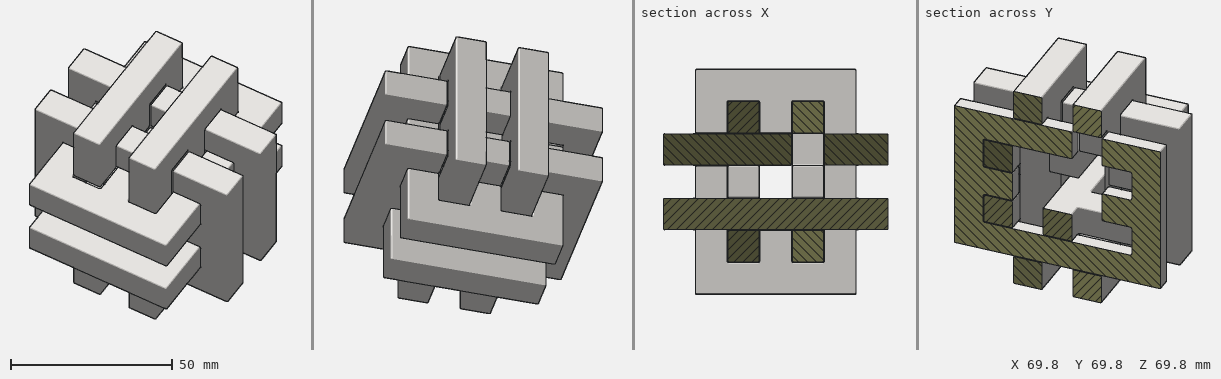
import cadquery as cq

BOARD_LENGTH = 69.8
CLEARANCE = 0.2
EDGE_RADIUS = 0.5
CELLS_LONG = 7
CELLS_WIDE = 5
SLOT_CELLS = 5

CELL = (BOARD_LENGTH + CLEARANCE) / CELLS_LONG
BOARD_WIDTH = CELLS_WIDE * CELL - CLEARANCE
BOARD_THICKNESS = CELL - CLEARANCE

SLOT_REACH = (SLOT_CELLS - 1) // 2
EDGE_CELL = (CELLS_WIDE - 1) // 2
SLOT_ROW = 1
OFFSET_CELLS = 1

X_AXIS = cq.Vector(1, 0, 0)
Y_AXIS = cq.Vector(0, 1, 0)
Z_AXIS = cq.Vector(0, 0, 1)


def cell_block(long_first, long_last, wide_first, wide_last):
    """Cutter through the board that fills a rectangle of grid cells, given as inclusive ranges."""
    length = (long_last - long_first + 1) * CELL
    width = (wide_last - wide_first + 1) * CELL
    middle_long = (long_first + long_last) / 2 * CELL
    middle_wide = (wide_first + wide_last) / 2 * CELL
    return cq.Workplane("XY").box(length, width, CELL).translate((middle_long, middle_wide, 0))


def make_board(openings):
    """Flat board with the given cell rectangles cut through it, rounded on every edge."""
    board = cq.Workplane("XY").box(BOARD_LENGTH, BOARD_WIDTH, BOARD_THICKNESS)
    for opening in openings:
        board = board.cut(cell_block(*opening))
    return board.edges().fillet(EDGE_RADIUS).solids()


def place_board(board, length_axis, width_axis, side):
    """Turn a board onto its two axes and move it to one side of the centre along the third."""
    normal = length_axis.cross(width_axis)
    facing = cq.Vector(abs(normal.x), abs(normal.y), abs(normal.z))
    seat = cq.Plane(origin=facing * (side * OFFSET_CELLS * CELL), xDir=length_axis, normal=normal)
    return board.val().moved(cq.Location(seat))


LOW_SLOT = (-SLOT_REACH, SLOT_REACH, -SLOT_ROW, -SLOT_ROW)
HIGH_SLOT = (-SLOT_REACH, SLOT_REACH, SLOT_ROW, SLOT_ROW)
CENTRE_SPAN = (-SLOT_ROW, SLOT_ROW, 0, 0)

LEFT_OPENINGS = [LOW_SLOT, HIGH_SLOT, CENTRE_SPAN, (1, 1, -EDGE_CELL, -EDGE_CELL)]
RIGHT_OPENINGS = [LOW_SLOT, HIGH_SLOT]
FRONT_OPENINGS = [LOW_SLOT, HIGH_SLOT, CENTRE_SPAN, (1, 1, EDGE_CELL, EDGE_CELL)]
BACK_OPENINGS = [LOW_SLOT, HIGH_SLOT, CENTRE_SPAN, (-1, -1, EDGE_CELL, EDGE_CELL)]
UPPER_OPENINGS = [LOW_SLOT, HIGH_SLOT, (1, 1, -EDGE_CELL, 0)]

LOWER_OPENINGS = [
    HIGH_SLOT,
    (-SLOT_REACH, -1, -SLOT_ROW, -SLOT_ROW),
    (1, SLOT_REACH, -SLOT_ROW, -SLOT_ROW),
    (-1, -1, -EDGE_CELL, -EDGE_CELL),
    (1, 1, -EDGE_CELL, -EDGE_CELL),
]

left_board = place_board(make_board(LEFT_OPENINGS), Z_AXIS, Y_AXIS, -1)
right_board = place_board(make_board(RIGHT_OPENINGS), Z_AXIS, Y_AXIS, 1)
front_board = place_board(make_board(FRONT_OPENINGS), X_AXIS, Z_AXIS, -1)
back_board = place_board(make_board(BACK_OPENINGS), X_AXIS, Z_AXIS, 1)
lower_board = place_board(make_board(LOWER_OPENINGS), Y_AXIS, X_AXIS, -1)
upper_board = place_board(make_board(UPPER_OPENINGS), Y_AXIS, X_AXIS, 1)

result = cq.Compound.makeCompound(
    [left_board, right_board, front_board, back_board, lower_board, upper_board]
)